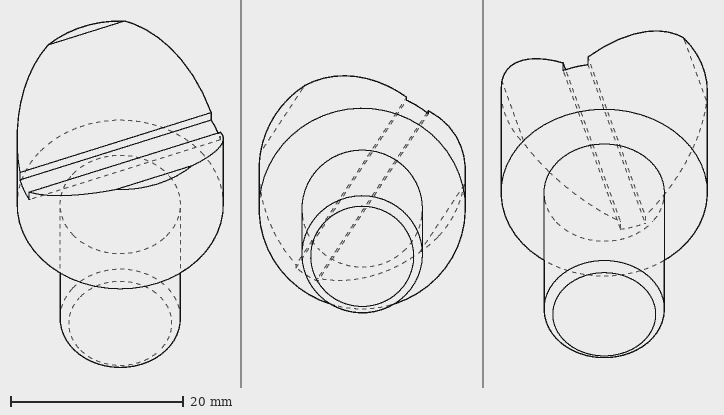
import cadquery as cq

total_height = 44.0
head_diameter = 24.0
head_height = 20.0
shank_diameter = 14.0
shank_chamfer = 1.0
vee_opening = 22.0
relief_width = 3.0
relief_floor_depth = 11.0

shank_length = total_height - head_height
vee_depth = (vee_opening - relief_width) / 2
relief_floor = total_height - relief_floor_depth
vee_root = total_height - vee_depth


def make_shank():
    """Round shank standing on z = 0, chamfered at its lower end."""
    shank = cq.Workplane("XY").circle(shank_diameter / 2).extrude(shank_length)
    return shank.faces("<Z").chamfer(shank_chamfer)


def make_head():
    """Plain round head above the shank."""
    return (
        cq.Workplane("XY")
        .workplane(offset=shank_length)
        .circle(head_diameter / 2)
        .extrude(head_height)
    )


def make_vee_cutter():
    """Vee with a relief slot at its root, running along Y through the head."""
    return (
        cq.Workplane("XZ")
        .moveTo(-vee_opening / 2, total_height)
        .lineTo(-relief_width / 2, vee_root)
        .lineTo(-relief_width / 2, relief_floor)
        .lineTo(relief_width / 2, relief_floor)
        .lineTo(relief_width / 2, vee_root)
        .lineTo(vee_opening / 2, total_height)
        .close()
        .extrude(head_diameter, both=True)
    )


result = make_shank().union(make_head()).cut(make_vee_cutter())